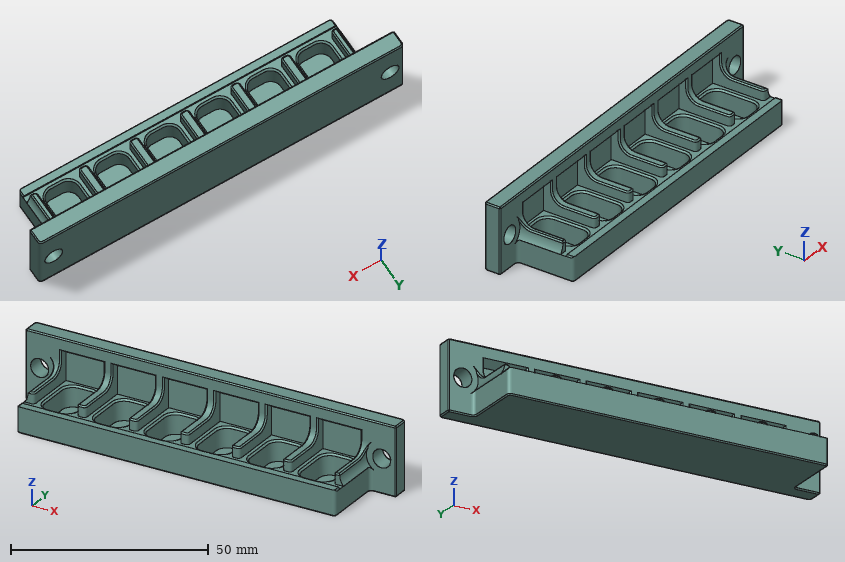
import cadquery as cq
import math

plate_length = 108.9
plate_thickness = 5.0
plate_height = 20.0
plate_back_radius = 1.0
outer_edge_chamfer = 0.35

screw_hole_diameter = 5.25
screw_clearance_diameter = 9.0
screw_end_margin = 4.2

tray_length = 93.7
overall_depth = 22.25
tray_corner_radius = 1.0
floor_z = 7.0
lip_height = 0.5
lip_width = 2.2

bay_count = 6
bay_pitch = 15.1
rib_width = 2.6
rib_top_z = 10.15
rib_root_radius = 3.6
rib_edge_chamfer = 0.4
rib_tip_radius = 0.9
rib_tip_gap = 1.8

recess_depth = 2.5
recess_top_z = 16.7
recess_ceiling_drop = 1.6

pocket_width = 9.5
pocket_corner_radius = 3.1
pocket_rim_chamfer = 0.5
pocket_front_gap = 1.4
pocket_rear_gap = 1.3
pocket_floor_z = 1.0
pocket_rim_angle = 45

plate_end_x = plate_length / 2
plate_front_y = -plate_thickness
tray_end_x = tray_length / 2
tray_front_y = -overall_depth
lip_back_y = tray_front_y + lip_width
recess_back_y = plate_front_y + recess_depth
rib_tip_y = lip_back_y + rib_tip_gap
outer_rib_x = bay_pitch * bay_count / 2
pocket_front_y = lip_back_y + pocket_front_gap
pocket_rear_y = recess_back_y - pocket_rear_gap
screw_x = plate_end_x - screw_end_margin
screw_z = plate_height / 2


def make_box(x_min, x_max, y_min, y_max, z_min, z_max):
    """Box given by its limits along each axis."""
    block = cq.Workplane("XY").box(x_max - x_min, y_max - y_min, z_max - z_min, centered=False)
    return block.translate((x_min, y_min, z_min))


def make_y_cylinder(x, z, diameter, y_min, y_max):
    """Cylinder along Y between two Y limits."""
    circle = cq.Workplane("XZ", origin=(x, y_max, z)).circle(diameter / 2)
    return circle.extrude(y_max - y_min)


def make_clearance(side):
    """Screwdriver and screw head clearance in front of the plate at one end."""
    return make_y_cylinder(
        side * screw_x, screw_z, screw_clearance_diameter, tray_front_y, plate_front_y
    )


def make_plate():
    """Mounting plate with rounded back corners and bevelled front corners."""
    plate = make_box(-plate_end_x, plate_end_x, plate_front_y, 0, 0, plate_height)
    plate = plate.edges("|Z and >Y").fillet(plate_back_radius)
    return plate.edges("|Z and <Y").chamfer(outer_edge_chamfer)


def make_tray():
    """Tray block with a raised front lip, flared where it meets the plate."""
    lip_top_z = floor_z + lip_height
    flare_x = tray_end_x + tray_corner_radius
    flare_y = plate_front_y - tray_corner_radius
    outline = (
        cq.Workplane("XY")
        .moveTo(-flare_x, plate_front_y)
        .radiusArc((-tray_end_x, flare_y), tray_corner_radius)
        .lineTo(-tray_end_x, tray_front_y)
        .lineTo(tray_end_x, tray_front_y)
        .lineTo(tray_end_x, flare_y)
        .radiusArc((flare_x, plate_front_y), tray_corner_radius)
        .close()
    )
    tray = outline.extrude(lip_top_z).edges("|Z and <Y").fillet(tray_corner_radius)
    return tray.cut(make_box(-flare_x, flare_x, lip_back_y, plate_front_y, floor_z, lip_top_z))


def make_recess():
    """Long relief in the plate front above the tray floor, with a sloping ceiling."""
    profile = cq.Workplane("YZ", origin=(-outer_rib_x, 0, 0)).polyline([
        (plate_front_y, floor_z),
        (plate_front_y, recess_top_z),
        (recess_back_y, recess_top_z - recess_ceiling_drop),
        (recess_back_y, floor_z),
    ])
    return profile.close().extrude(2 * outer_rib_x)


def make_rib_blank(x_min, x_max):
    """Sharp-edged divider that sweeps up into the plate front."""
    profile = (
        cq.Workplane("YZ", origin=(x_min, 0, 0))
        .moveTo(recess_back_y, floor_z)
        .lineTo(rib_tip_y, floor_z)
        .lineTo(rib_tip_y, rib_top_z)
        .lineTo(plate_front_y - rib_root_radius, rib_top_z)
        .radiusArc((plate_front_y, rib_top_z + rib_root_radius), -rib_root_radius)
        .lineTo(plate_front_y, recess_top_z)
        .lineTo(recess_back_y, recess_top_z)
        .close()
    )
    return profile.extrude(x_max - x_min)


def rib_top_edge(rib, x):
    """Straight upper edge of a rib nearest the given X; blends on it run along the whole chain."""
    middle_y = (rib_tip_y + plate_front_y - rib_root_radius) / 2
    return rib.edges(cq.selectors.NearestToPointSelector((x, middle_y, rib_top_z)))


def make_middle_rib(x):
    """Divider between two bays."""
    right_x = x + rib_width / 2
    rib = make_rib_blank(x - rib_width / 2, right_x)
    rib = rib.edges("|Z and <Y").fillet(rib_tip_radius)
    return rib_top_edge(rib, right_x).chamfer(rib_edge_chamfer)


def make_left_end_rib():
    """End divider, hollowed on its outer side by the screw clearance."""
    inner_x = rib_width / 2 - outer_rib_x
    rib = make_rib_blank(-screw_x, inner_x)
    rib = rib.faces(">X").edges("|Z and <Y").fillet(rib_tip_radius)
    rib = rib_top_edge(rib, inner_x).chamfer(rib_edge_chamfer)
    clearance_radius = screw_clearance_diameter / 2
    hollow_x = math.sqrt(clearance_radius**2 - (rib_top_z - screw_z) ** 2) - screw_x
    return rib_top_edge(rib.cut(make_clearance(-1)), hollow_x).chamfer(rib_edge_chamfer)


def make_pocket(x):
    """Rounded well in the tray floor with a bevelled rim."""
    half = pocket_width / 2
    well = make_box(x - half, x + half, pocket_front_y, pocket_rear_y, pocket_floor_z, floor_z)
    well = well.edges("|Z").fillet(pocket_corner_radius)
    mouth_width = pocket_width + 2 * pocket_rim_chamfer
    mouth_length = pocket_rear_y - pocket_front_y + 2 * pocket_rim_chamfer
    mouth = (
        cq.Workplane("XY", origin=(x, (pocket_front_y + pocket_rear_y) / 2, floor_z))
        .sketch()
        .rect(mouth_width, mouth_length)
        .vertices().fillet(pocket_corner_radius + pocket_rim_chamfer)
        .finalize()
        .extrude(-pocket_rim_chamfer, taper=pocket_rim_angle)
    )
    return well.union(mouth)


def make_body():
    """Plate and tray in one, bevelled around the top and the underside."""
    body = make_plate().union(make_tray())
    return body.faces("<Z or >Z").edges().chamfer(outer_edge_chamfer)


result = make_body().cut(make_recess())

left_end_rib = make_left_end_rib()
result = result.union(left_end_rib).union(left_end_rib.mirror("YZ"))
for index in range(1, bay_count):
    result = result.union(make_middle_rib(index * bay_pitch - outer_rib_x))

for index in range(bay_count):
    result = result.cut(make_pocket((index + 0.5) * bay_pitch - outer_rib_x))

for side in (-1, 1):
    result = result.cut(make_clearance(side))
    screw_hole = make_y_cylinder(side * screw_x, screw_z, screw_hole_diameter, plate_front_y, 0)
    result = result.cut(screw_hole)